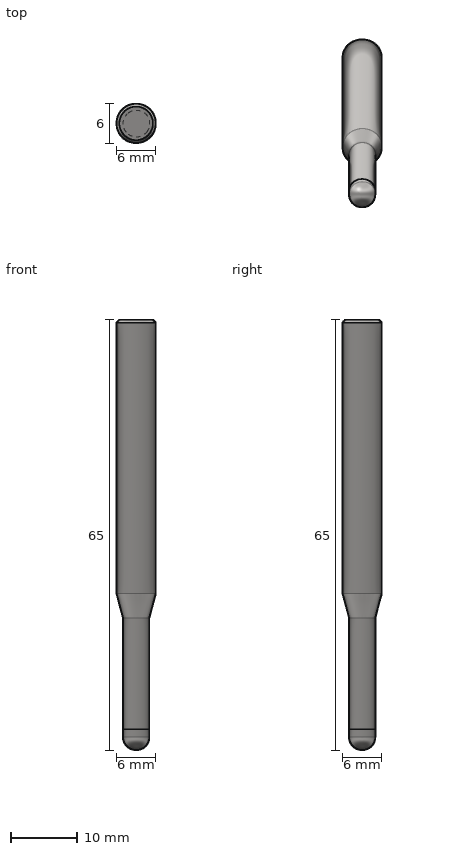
import cadquery as cq
import math

TOTAL_LENGTH = 65.0
SHANK_DIAMETER = 6.0
NECK_DIAMETER = 4.0
NECK_TOP = 20.0
TAPER_HALF_ANGLE = 15.0
END_CHAMFER = 0.45
TIP_COLLAR = 1.2

shank_radius = SHANK_DIAMETER / 2
neck_radius = NECK_DIAMETER / 2
taper_length = (shank_radius - neck_radius) / math.tan(math.radians(TAPER_HALF_ANGLE))
taper_top = NECK_TOP + taper_length
joint_height = neck_radius + TIP_COLLAR


def make_shank():
    """Chamfered shank that tapers down to the neck and ends flat at the tip joint."""
    return (
        cq.Workplane("XZ")
        .moveTo(0, joint_height)
        .lineTo(neck_radius, joint_height)
        .lineTo(neck_radius, NECK_TOP)
        .lineTo(shank_radius, taper_top)
        .lineTo(shank_radius, TOTAL_LENGTH - END_CHAMFER)
        .lineTo(shank_radius - END_CHAMFER, TOTAL_LENGTH)
        .lineTo(0, TOTAL_LENGTH)
        .close()
        .revolve(360, (0, 0, 0), (0, 1, 0))
    )


def make_ball_tip():
    """Hemispherical tip with a short straight collar, butted against the neck."""
    arc_offset = neck_radius * math.sqrt(0.5)
    return (
        cq.Workplane("XZ")
        .moveTo(0, 0)
        .threePointArc((arc_offset, neck_radius - arc_offset), (neck_radius, neck_radius))
        .lineTo(neck_radius, joint_height)
        .lineTo(0, joint_height)
        .close()
        .revolve(360, (0, 0, 0), (0, 1, 0))
    )


shank = make_shank()
ball_tip = make_ball_tip()
result = cq.Compound.makeCompound([shank.val(), ball_tip.val()])